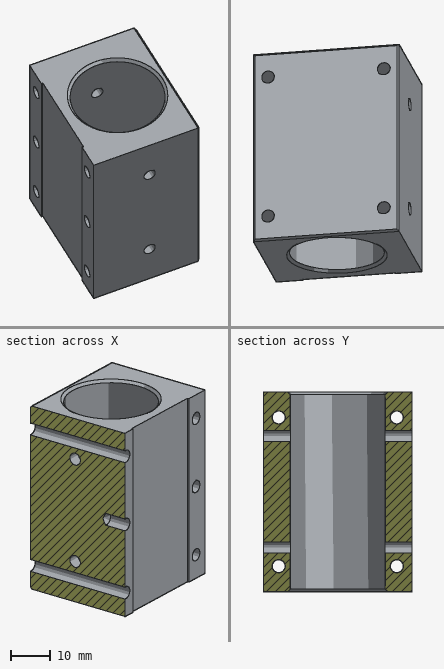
import cadquery as cq
import math

width = 38.1
depth = 30.15
height = 51.3
back_chamfer = 0.5

bore_diameter = 24.3
bore_chamfer = 0.7
bore_y = 15.9

relief_width = 24.1
relief_depth = 0.4

hole_diameter = 3.3
mount_spacing_x = 30.25
mount_spacing_z = 38.1
blind_depth = 6.15
drill_point_angle = 118.0

cross_diameter = 3.2
cross_spacing_z = 28.6


def make_block():
    block = cq.Workplane("XY").box(width, depth, height, centered=(True, False, True))
    return block.faces(">Y").edges().chamfer(back_chamfer)


def make_relief():
    return cq.Workplane("XY").box(relief_width, 2 * relief_depth, height)


def make_bore():
    """Through bore with a chamfered mouth at each end."""
    radius = bore_diameter / 2
    mouth_radius = radius + bore_chamfer
    half_height = height / 2
    straight_half = half_height - bore_chamfer
    profile = [
        (0, -half_height),
        (mouth_radius, -half_height),
        (radius, -straight_half),
        (radius, straight_half),
        (mouth_radius, half_height),
        (0, half_height),
    ]
    bore = cq.Workplane("XZ").polyline(profile).close().revolve(360, (0, 0), (0, 1))
    return bore.translate((0, bore_y, 0))


def make_through_holes():
    holes = cq.Workplane("XZ").rarray(mount_spacing_x, mount_spacing_z, 2, 2)
    return holes.circle(hole_diameter / 2).extrude(-depth)


def make_blind_hole(x):
    """Drilled hole from the pad face, ending in a conical drill point."""
    radius = hole_diameter / 2
    point_length = radius / math.tan(math.radians(drill_point_angle / 2))
    profile = [(0, 0), (radius, 0), (radius, blind_depth), (0, blind_depth + point_length)]
    hole = cq.Workplane("XY").polyline(profile).close().revolve(360, (0, 0), (0, 1))
    return hole.translate((x, 0, 0))


def make_cross_holes():
    holes = cq.Workplane("YZ").pushPoints([(bore_y, side * cross_spacing_z / 2) for side in (-1, 1)])
    return holes.circle(cross_diameter / 2).extrude(width / 2, both=True)


result = make_block().cut(make_relief()).cut(make_bore())
result = result.cut(make_through_holes()).cut(make_cross_holes())
for side in (-1, 1):
    result = result.cut(make_blind_hole(side * mount_spacing_x / 2))